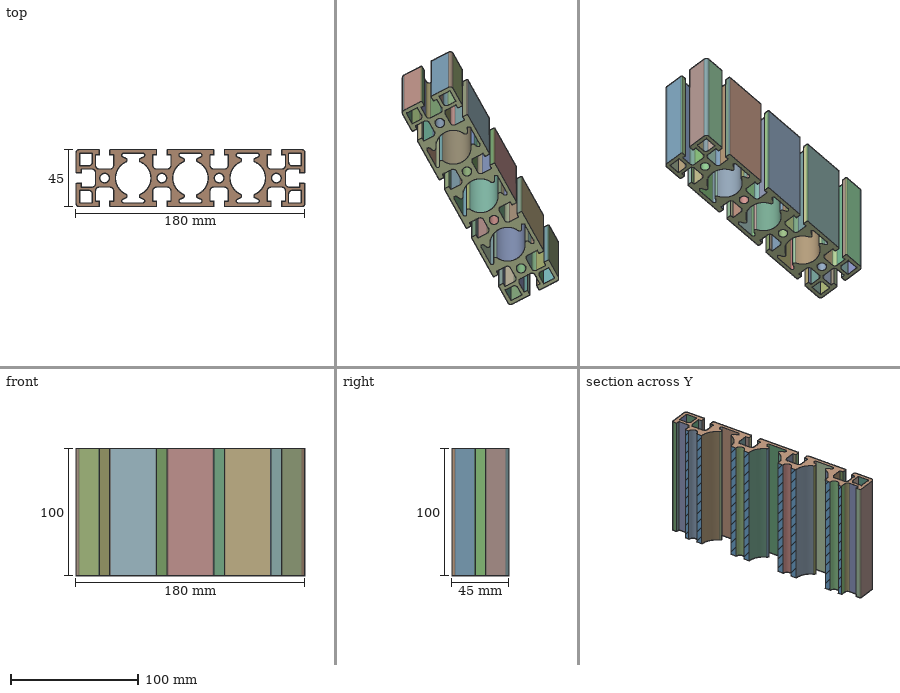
import cadquery as cq
import math

module = 45.0
module_count = 4
length = module * module_count
width = module
height = 100.0
outer_radius = 2.5

slot_opening = 8.1
slot_lip_thickness = 4.3
slot_cavity_width = 14.0
slot_depth = 15.3
slot_bottom_radius = 2.7
slot_lip_radius = 0.7

core_hole_diameter = 7.4
wall = 3.0
corner_web = 2.7
corner_cavity_size = module / 2 - slot_cavity_width / 2 - wall - corner_web
corner_cavity_radius = 2.7

bore_radius = 13.9
neck_width = 9.5
neck_tip_radius = 1.6
dovetail_width = 18.0
dovetail_end_radius = 1.5


def module_centers():
    return [module * (i - (module_count - 1) / 2) for i in range(module_count)]


def joint_centers():
    return [module * (i - module_count / 2) for i in range(1, module_count)]


def slot_cutter(x, turn):
    """T-slot of the module at x, opening along +Y before being turned about Z."""
    floor_y = width / 2 - slot_depth
    cavity_height = slot_depth - slot_lip_thickness
    cavity = (
        cq.Workplane("XY")
        .center(0, floor_y + cavity_height / 2)
        .rect(slot_cavity_width, cavity_height)
        .extrude(height)
        .edges("|Z and <Y")
        .fillet(slot_bottom_radius)
    )
    opening = (
        cq.Workplane("XY")
        .center(0, width / 2 - slot_depth / 2)
        .rect(slot_opening, slot_depth)
        .extrude(height)
    )
    slot = cavity.union(opening)
    return slot.rotate((0, 0, 0), (0, 0, 1), turn).translate((x, 0, 0))


def round_slot_lips(body):
    """Round the two outer edges of every slot opening."""
    half_opening = slot_opening / 2
    lip_points = []
    for side in (-1, 1):
        for edge in (-half_opening, half_opening):
            lip_points.append((side * length / 2, edge))
            lip_points += [(x + edge, side * width / 2) for x in module_centers()]
    for x, y in lip_points:
        lip_edge = cq.selectors.NearestToPointSelector((x, y, height / 2))
        body = body.edges("|Z").edges(lip_edge).fillet(slot_lip_radius)
    return body


def corner_cavity(side_x, side_y):
    """Square cavity in a corner, rounded only towards the middle of the profile."""
    center_x = side_x * (length / 2 - wall - corner_cavity_size / 2)
    center_y = side_y * (width / 2 - wall - corner_cavity_size / 2)
    inner_x = center_x - side_x * corner_cavity_size
    inner_y = center_y - side_y * corner_cavity_size
    inner_edge = cq.selectors.NearestToPointSelector((inner_x, inner_y, height / 2))
    return (
        cq.Workplane("XY")
        .center(center_x, center_y)
        .rect(corner_cavity_size, corner_cavity_size)
        .extrude(height)
        .edges("|Z")
        .edges(inner_edge)
        .fillet(corner_cavity_radius)
    )


def on_circle(center, radius, angle):
    return (center[0] + radius * math.cos(angle), center[1] + radius * math.sin(angle))


def joint_cavity():
    """Bore with a dovetail at each side, centred on the origin."""
    tip_x = neck_width / 2 + neck_tip_radius
    tip = (tip_x, math.sqrt((bore_radius + neck_tip_radius) ** 2 - tip_x**2))
    end = (
        dovetail_width / 2 - dovetail_end_radius,
        width / 2 - wall - dovetail_end_radius,
    )

    spacing = math.dist(tip, end)
    end_to_tip = math.atan2(tip[1] - end[1], tip[0] - end[0])
    end_flank_angle = end_to_tip + math.acos((neck_tip_radius + dovetail_end_radius) / spacing)
    tip_flank_angle = end_flank_angle + math.pi
    tip_bore_angle = math.atan2(-tip[1], -tip[0]) + 2 * math.pi

    bore_point = on_circle(tip, neck_tip_radius, tip_bore_angle)
    tip_middle = on_circle(tip, neck_tip_radius, (tip_bore_angle + tip_flank_angle) / 2)
    tip_flank = on_circle(tip, neck_tip_radius, tip_flank_angle)
    end_flank = on_circle(end, dovetail_end_radius, end_flank_angle)
    end_middle = on_circle(end, dovetail_end_radius, (end_flank_angle + math.pi / 2) / 2)
    end_top = on_circle(end, dovetail_end_radius, math.pi / 2)

    quarter = (
        cq.Workplane("XY")
        .lineTo(*bore_point)
        .threePointArc(tip_middle, tip_flank)
        .lineTo(*end_flank)
        .threePointArc(end_middle, end_top)
        .lineTo(0, end_top[1])
        .close()
        .extrude(height)
    )
    half = quarter.union(quarter.mirror("YZ"))
    bore = cq.Workplane("XY").circle(bore_radius).extrude(height)
    return bore.union(half).union(half.mirror("XZ"))


body = cq.Workplane("XY").box(length, width, height, centered=(True, True, False))
body = body.edges("|Z").fillet(outer_radius)

end_x = module_centers()[-1]
for x in module_centers():
    body = body.cut(slot_cutter(x, 0)).cut(slot_cutter(x, 180))
body = body.cut(slot_cutter(end_x, -90)).cut(slot_cutter(-end_x, 90))
body = round_slot_lips(body)

core_points = [(x, 0) for x in module_centers()]
core_holes = cq.Workplane("XY").pushPoints(core_points).circle(core_hole_diameter / 2).extrude(height)
body = body.cut(core_holes)

for side_x in (-1, 1):
    for side_y in (-1, 1):
        body = body.cut(corner_cavity(side_x, side_y))

for x in joint_centers():
    body = body.cut(joint_cavity().translate((x, 0, 0)))

result = body